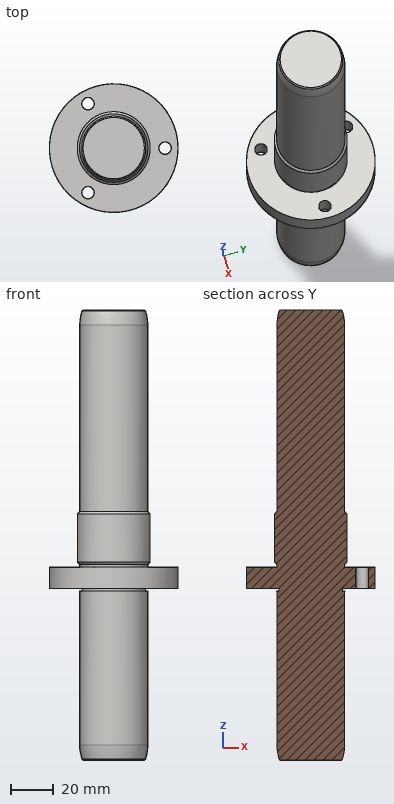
import cadquery as cq

total_length = 210.0
shaft_radius = 16.0

flange_radius = 30.0
flange_bottom = 80.0
flange_thickness = 10.0
flange_top = flange_bottom + flange_thickness

collar_radius = 17.0
collar_bottom = 91.4
collar_top = 116.0
collar_bevel = 1.0

groove_radius = 15.0
groove_width = 1.0

lead_length = 7.1
lead_tip_radius = 15.0
lead_bulge = 0.25
tip_bevel_length = 0.6
tip_face_radius = 14.3

hole_count = 3
hole_diameter = 5.7
hole_circle_radius = 24.0


def make_body():
    """Revolve the half outline of shaft, flange and collar about Z."""
    lead_middle_radius = (shaft_radius + lead_tip_radius) / 2 + lead_bulge
    lead_middle_height = (lead_length + tip_bevel_length) / 2
    outline = (
        cq.Workplane("XZ")
        .moveTo(0, 0)
        .lineTo(tip_face_radius, 0)
        .lineTo(lead_tip_radius, tip_bevel_length)
        .threePointArc((lead_middle_radius, lead_middle_height), (shaft_radius, lead_length))
        .lineTo(shaft_radius, flange_bottom - groove_width)
        .lineTo(groove_radius, flange_bottom - groove_width)
        .lineTo(groove_radius, flange_bottom)
        .lineTo(flange_radius, flange_bottom)
        .lineTo(flange_radius, flange_top)
        .lineTo(shaft_radius, flange_top)
        .lineTo(shaft_radius, collar_bottom)
        .lineTo(collar_radius, collar_bottom + collar_bevel)
        .lineTo(collar_radius, collar_top - collar_bevel)
        .lineTo(shaft_radius, collar_top)
        .lineTo(shaft_radius, total_length - lead_length)
        .threePointArc(
            (lead_middle_radius, total_length - lead_middle_height),
            (lead_tip_radius, total_length - tip_bevel_length),
        )
        .lineTo(tip_face_radius, total_length)
        .lineTo(0, total_length)
        .close()
    )
    return outline.revolve(360, (0, 0, 0), (0, 1, 0))


def make_screw_holes():
    """Cylinders through the flange, evenly spaced with the first on +X."""
    return (
        cq.Workplane("XY")
        .workplane(offset=flange_bottom)
        .polarArray(hole_circle_radius, 0, 360, hole_count)
        .circle(hole_diameter / 2)
        .extrude(flange_thickness)
    )


result = make_body().cut(make_screw_holes())